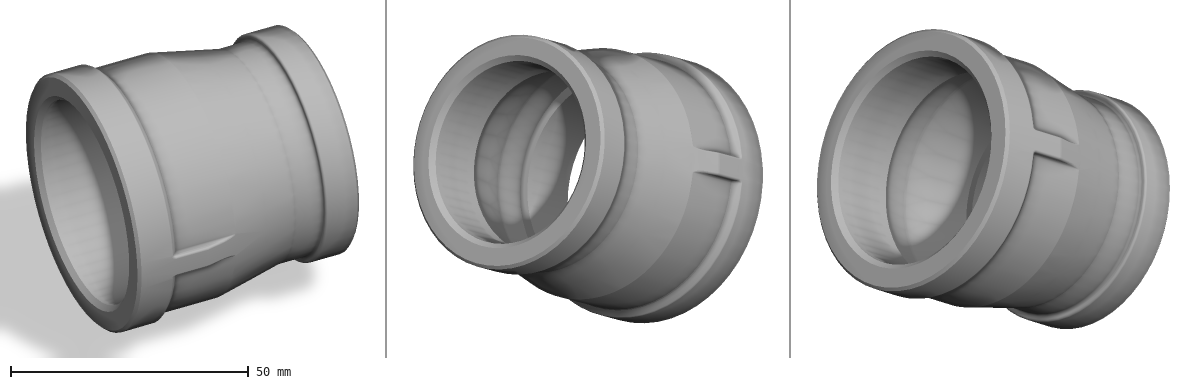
import cadquery as cq
import math

LENGTH = 53.0
WALL = 2.4

LARGE_RIM_R = 56.5 / 2
LARGE_BORE_R = 44.84 / 2
LARGE_MOUTH_R = 47.0 / 2
MOUTH_CHAMFER = LARGE_MOUTH_R - LARGE_BORE_R
LARGE_RELIEF_R = 48.7 / 2
LARGE_BORE_LENGTH = 15.4
BODY_R = LARGE_RELIEF_R + WALL
SHOULDER_Y = 8.0
FLOOR_START_Y = SHOULDER_Y + LARGE_RIM_R - BODY_R

SMALL_RIM_R = 50.0 / 2
SMALL_BORE_R = 38.95 / 2
NECK_R = 47.0 / 2
SMALL_RELIEF_R = NECK_R - WALL
SMALL_RIM_LENGTH = 8.0
SMALL_MOUTH_R = SMALL_BORE_R + MOUTH_CHAMFER

CONE_START_Y = 16.2
CONE_END_Y = 38.5
CONE_SLOPE = (LARGE_RIM_R - NECK_R) / (CONE_END_Y - CONE_START_Y)
BODY_END_Y = CONE_END_Y - (BODY_R - NECK_R) / CONE_SLOPE

INNER_CONE_START_Y = 23.1
INNER_CONE_END_Y = INNER_CONE_START_Y + (LARGE_RELIEF_R - SMALL_RELIEF_R) / CONE_SLOPE

RIB_WIDTH = 5.0
EDGE_RADIUS = 0.5
RIM_CHAMFER = 0.65
CONE_BLEND_RADIUS = 3.0
CUTTER_OVERRUN = 5.0
CUTTER_R = LARGE_RIM_R + CUTTER_OVERRUN

TOLERANCE = 0.01
BLEND_TOLERANCE = 0.04


def revolve_profile(points):
    """Turn a closed outline of (radius, y) points about the Y axis."""
    return cq.Workplane("XY").polyline(points).close().revolve(360, (0, 0, 0), (0, 1, 0))


def ring_edges(solid, radius, y):
    """Circular edges of the given radius lying at height y along the axis."""
    def matches(edge):
        on_plane = abs(edge.Center().y - y) < TOLERANCE
        return on_plane and edge.geomType() == "CIRCLE" and abs(edge.radius() - radius) < TOLERANCE

    return solid.newObject([e for e in solid.edges().vals() if matches(e)])


def make_envelope():
    """Solid outside shape, with the cone carried up to the large rim diameter."""
    rim_y = LENGTH - SMALL_RIM_LENGTH
    body = revolve_profile([
        (0, 0),
        (LARGE_RIM_R, 0),
        (LARGE_RIM_R, CONE_START_Y),
        (NECK_R, CONE_END_Y),
        (NECK_R, rim_y),
        (SMALL_RIM_R, rim_y),
        (SMALL_RIM_R, LENGTH),
        (0, LENGTH),
    ])
    body = ring_edges(body, LARGE_RIM_R, 0).chamfer(RIM_CHAMFER)
    body = ring_edges(body, SMALL_RIM_R, LENGTH).chamfer(RIM_CHAMFER)
    body = ring_edges(body, SMALL_RIM_R, rim_y).fillet(EDGE_RADIUS)
    body = ring_edges(body, NECK_R, rim_y).fillet(EDGE_RADIUS)
    return ring_edges(body, LARGE_RIM_R, CONE_START_Y).fillet(CONE_BLEND_RADIUS)


def cut_side_recesses(body):
    """Turn the body down between the rim and the cone, leaving a rib on each X side."""
    recess = revolve_profile([
        (BODY_R, FLOOR_START_Y),
        (LARGE_RIM_R, SHOULDER_Y),
        (CUTTER_R, SHOULDER_Y - CUTTER_OVERRUN),
        (CUTTER_R, BODY_END_Y),
        (BODY_R, BODY_END_Y),
    ])
    ribs = cq.Workplane("XY").box(2 * CUTTER_R, 2 * LENGTH, RIB_WIDTH)
    return body.cut(recess.cut(ribs))


def axis_distances(edge):
    """Distances from the bore axis at the start, middle and end of an edge."""
    points = [edge.positionAt(t) for t in (0, 0.5, 1)]
    return [math.hypot(p.x, p.z) for p in points]


def envelope_radius(y):
    """Outside radius, before the recesses are cut, between the large rim and the neck."""
    return min(LARGE_RIM_R, LARGE_RIM_R - CONE_SLOPE * (y - CONE_START_Y))


def recess_edges(body):
    """Edges bounding the recesses, leaving out those that run across the ribs and at the cone."""
    def matches(edge):
        box = edge.BoundingBox()
        in_recess = box.ymin > SHOULDER_Y - EDGE_RADIUS and box.ymax < BODY_END_Y + EDGE_RADIUS
        crosses_rib = box.ylen < TOLERANCE and box.ymin > FLOOR_START_Y + EDGE_RADIUS
        return in_recess and not crosses_rib

    return [e for e in body.edges().vals() if matches(e)]


def fillet_recess_corners(body):
    """Round the hollow corners: around the recess floors and where the shoulders meet the ribs."""
    def is_corner(edge):
        box = edge.BoundingBox()
        on_floor = all(abs(r - BODY_R) < TOLERANCE for r in axis_distances(edge))
        up_shoulder = box.ymax < FLOOR_START_Y + TOLERANCE and box.ylen > TOLERANCE
        return on_floor or up_shoulder

    return body.newObject([e for e in recess_edges(body) if is_corner(e)]).fillet(EDGE_RADIUS)


def fillet_recess_rims(body):
    """Round the outer edges of the shoulders and ribs, where the recesses break the outside."""
    def is_rim(edge):
        heights = [edge.positionAt(t).y for t in (0, 0.5, 1)]
        distances = axis_distances(edge)
        on_outside = all(abs(r - envelope_radius(y)) < BLEND_TOLERANCE for r, y in zip(distances, heights))
        return on_outside and distances[1] > BODY_R + BLEND_TOLERANCE

    return body.newObject([e for e in recess_edges(body) if is_rim(e)]).fillet(EDGE_RADIUS)


def make_bore():
    """Space inside: a bore at each end, a wider relief behind the large one and a cone."""
    bore = revolve_profile([
        (0, 0),
        (LARGE_MOUTH_R, 0),
        (LARGE_BORE_R, MOUTH_CHAMFER),
        (LARGE_BORE_R, LARGE_BORE_LENGTH),
        (LARGE_RELIEF_R, LARGE_BORE_LENGTH),
        (LARGE_RELIEF_R, INNER_CONE_START_Y),
        (SMALL_RELIEF_R, INNER_CONE_END_Y),
        (SMALL_BORE_R, INNER_CONE_END_Y),
        (SMALL_BORE_R, LENGTH - MOUTH_CHAMFER),
        (SMALL_MOUTH_R, LENGTH),
        (0, LENGTH),
    ])
    return ring_edges(bore, LARGE_RELIEF_R, INNER_CONE_START_Y).fillet(CONE_BLEND_RADIUS)


outside = cut_side_recesses(make_envelope())
outside = fillet_recess_corners(outside)
outside = fillet_recess_rims(outside)
result = outside.cut(make_bore())